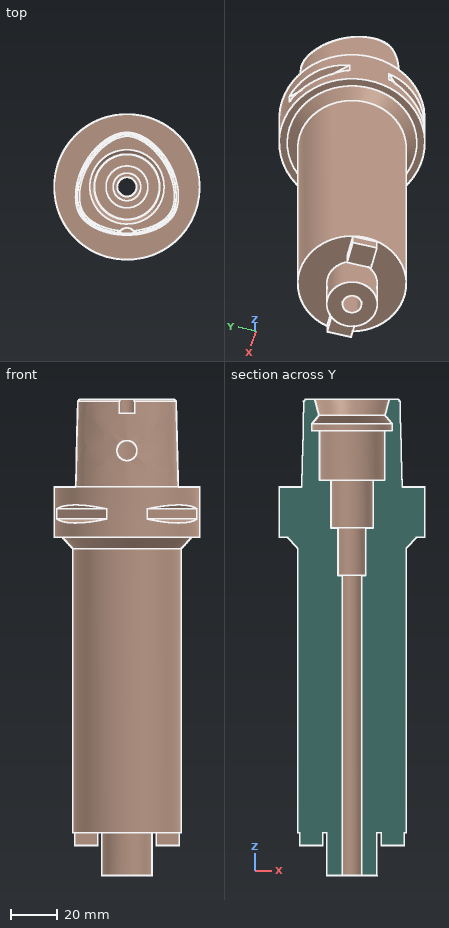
import cadquery as cq
import math

total_length = 206.0
shank_height = 38.0
flange_height = 21.8
cone_height = 5.0
pilot_length = 18.5
body_bottom = shank_height - total_length + pilot_length

flange_radius = 31.5
cone_top_radius = 28.0
body_radius = 23.5
pilot_radius = 11.0

shank_base_radius = 22.2
shank_taper = 1 / 40
lobe_height = 1.35
rim_chamfer_height = 1.0
rim_chamfer_width = 0.8

mouth_radius = 16.0
throat_radius = 14.2
throat_depth = 7.0
undercut_radius = 17.3
undercut_slope_depth = 10.7
undercut_depth = 13.5
main_bore_radius = 14.0
main_bore_depth = 35.0
middle_bore_radius = 9.0
middle_bore_depth = 55.6
lower_bore_radius = 6.0
lower_bore_depth = 76.2
through_hole_radius = 4.1

notch_radius = 3.7
notch_depth = 6.2
notch_center_y = -21.5
side_hole_radius = 4.3
side_hole_depth_from_top = 22.2
side_hole_inner_y = -12.4

groove_count = 4
groove_floor_distance = 27.6
groove_floor_height = 4.3
groove_flare = 1.75
groove_center_z = -11.7

key_inner_x = 12.5
key_outer_x = 22.7
key_width = 10.7
key_height = 5.5


def lobed_wire(z, mean_radius):
    """Closed constant-width outline with one lobe on +Y."""

    def point(fraction):
        angle = 2 * math.pi * fraction
        lobe_phase = 3 * (angle - math.pi / 2)
        support = mean_radius + lobe_height * math.cos(lobe_phase)
        slope = -3 * lobe_height * math.sin(lobe_phase)
        x = support * math.cos(angle) - slope * math.sin(angle)
        y = support * math.sin(angle) + slope * math.cos(angle)
        return cq.Vector(x, y, z)

    samples = 48
    points = [point(i / samples) for i in range(samples)]
    return cq.Wire.assembleEdges([cq.Edge.makeSpline(points, periodic=True)])


def make_shank():
    chamfer_z = shank_height - rim_chamfer_height
    chamfer_radius = shank_base_radius - shank_taper * chamfer_z
    base = lobed_wire(0, shank_base_radius)
    shoulder = lobed_wire(chamfer_z, chamfer_radius)
    rim = lobed_wire(shank_height, chamfer_radius - rim_chamfer_width)
    lower = cq.Workplane(cq.Solid.makeLoft([base, shoulder], True))
    upper = cq.Workplane(cq.Solid.makeLoft([shoulder, rim], True))
    return lower.union(upper)


def make_turned_body():
    cone_bottom = -flange_height - cone_height
    profile = [
        (0, 0),
        (flange_radius, 0),
        (flange_radius, -flange_height),
        (cone_top_radius, -flange_height),
        (body_radius, cone_bottom),
        (body_radius, body_bottom),
        (pilot_radius, body_bottom),
        (pilot_radius, body_bottom - pilot_length),
        (0, body_bottom - pilot_length),
    ]
    return cq.Workplane("XZ").polyline(profile).close().revolve(360, (0, 0), (0, 1))


def make_bore():
    radius_and_depth = [
        (0, 0),
        (mouth_radius, 0),
        (throat_radius, throat_depth),
        (undercut_radius, undercut_slope_depth),
        (undercut_radius, undercut_depth),
        (main_bore_radius, undercut_depth),
        (main_bore_radius, main_bore_depth),
        (middle_bore_radius, main_bore_depth),
        (middle_bore_radius, middle_bore_depth),
        (lower_bore_radius, middle_bore_depth),
        (lower_bore_radius, lower_bore_depth),
        (through_hole_radius, lower_bore_depth),
        (through_hole_radius, total_length),
        (0, total_length),
    ]
    profile = [(radius, shank_height - depth) for radius, depth in radius_and_depth]
    return cq.Workplane("XZ").polyline(profile).close().revolve(360, (0, 0), (0, 1))


def make_groove(angle):
    """Straight groove across the flange, with a flat floor and flared sides."""
    floor_half = groove_floor_height / 2
    rim_half = floor_half + groove_flare
    section = [
        (groove_floor_distance, groove_center_z - floor_half),
        (flange_radius, groove_center_z - rim_half),
        (flange_radius, groove_center_z + rim_half),
        (groove_floor_distance, groove_center_z + floor_half),
    ]
    groove = cq.Workplane("XZ").polyline(section).close().extrude(flange_radius, both=True)
    return groove.rotate((0, 0, 0), (0, 0, 1), angle)


def make_notch():
    notch = cq.Workplane("XY", origin=(0, notch_center_y, shank_height - notch_depth))
    return notch.circle(notch_radius).extrude(notch_depth)


def make_side_hole():
    hole_z = shank_height - side_hole_depth_from_top
    hole = cq.Workplane("XZ", origin=(0, side_hole_inner_y, hole_z))
    return hole.circle(side_hole_radius).extrude(flange_radius + side_hole_inner_y)


def make_key(side):
    center_x = side * (key_inner_x + key_outer_x) / 2
    key = cq.Workplane("XY", origin=(center_x, 0, body_bottom))
    return key.rect(key_outer_x - key_inner_x, key_width).extrude(-key_height)


result = make_turned_body().union(make_shank())
for key_side in (-1, 1):
    result = result.union(make_key(key_side))

result = result.cut(make_bore()).cut(make_notch()).cut(make_side_hole())
for groove_index in range(groove_count):
    result = result.cut(make_groove((groove_index + 0.5) * 360 / groove_count))